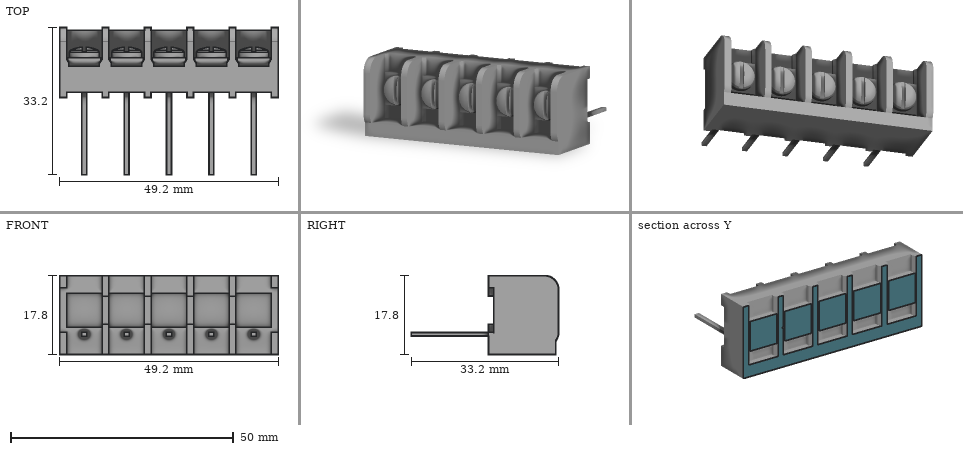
import cadquery as cq
import math


pole_count = 5
pitch = 9.525
body_length = 49.17
divider_width = 1.5
end_wall_width = 1.63

overall_depth = 33.15
body_depth = 15.8
body_height = 17.78
corner_radius = 3.175

ledge_setback = 0.65
ledge_height = 3.1

rib_depth = 1.19
window_depth = 1.05
window_height = 7.62
mid_height = 10.0
divider_notch_height = 6.3
end_notch_height = 9.95

taper_start_depth = 7.15
taper_end_depth = 8.0
compartment_depth = 8.75
compartment_back_width = 6.85

plate_width = 7.45
plate_thickness = 1.95

head_diameter = 6.76
head_rim_height = 1.15
head_edge_height = 0.5
head_edge_inset = 0.3
head_dome_rise = 0.7
screw_slot_width = 0.95
screw_slot_depth = 1.02

pin_width = 1.17
pin_height = 0.82
pin_center_height = 4.58

compartment_width = pitch - divider_width
end_x = body_length / 2
wall_x = end_x - end_wall_width
pole_span = pole_count - 1
pole_centers = [(i - pole_span / 2) * pitch for i in range(pole_count)]
compartment_back_y = body_depth - compartment_depth
plate_front_y = compartment_back_y + plate_thickness


def box(x_range, y_range, z_range):
    """Axis-aligned box from its (low, high) limits on each axis."""
    lows, highs = zip(x_range, y_range, z_range)
    sizes = [high - low for low, high in zip(lows, highs)]
    return cq.Workplane("XY").box(*sizes, centered=False).translate(lows)


def centered_range(center, size):
    return (center - size / 2, center + size / 2)


def bay_range(center):
    """X limits of the clear space of one pole, trimmed by the thicker end walls."""
    low, high = centered_range(center, compartment_width)
    return (max(low, -wall_x), min(high, wall_x))


def body_blank():
    """Side profile, the same as that of a divider, extruded over the full length."""
    ledge_y = body_depth - ledge_setback
    arc_center_y = body_depth - corner_radius
    lower_arc_rise = math.sqrt(corner_radius**2 - (corner_radius - ledge_setback) ** 2)
    lower_arc_z = ledge_height + lower_arc_rise
    half_angle = math.asin(lower_arc_rise / corner_radius) / 2
    lower_arc_middle = (
        arc_center_y + corner_radius * math.cos(half_angle),
        lower_arc_z - corner_radius * math.sin(half_angle),
    )
    diagonal = corner_radius * math.sqrt(0.5)
    upper_arc_middle = (arc_center_y + diagonal, body_height - corner_radius + diagonal)
    return (
        cq.Workplane("YZ")
        .moveTo(0, 0)
        .lineTo(ledge_y, 0)
        .lineTo(ledge_y, ledge_height)
        .threePointArc(lower_arc_middle, (body_depth, lower_arc_z))
        .lineTo(body_depth, body_height - corner_radius)
        .threePointArc(upper_arc_middle, (arc_center_y, body_height))
        .lineTo(0, body_height)
        .close()
        .extrude(end_x, both=True)
    )


def compartment(center):
    """Screw compartment, open at the top and towards +Y, standing on the ledge."""
    low, high = bay_range(center)
    back_low, back_high = centered_range(center, compartment_back_width)
    taper_start_y = body_depth - taper_start_depth
    taper_end_y = body_depth - taper_end_depth
    outline = [
        (low, body_depth),
        (low, taper_start_y),
        (back_low, taper_end_y),
        (back_low, compartment_back_y),
        (back_high, compartment_back_y),
        (back_high, taper_end_y),
        (high, taper_start_y),
        (high, body_depth),
    ]
    height = body_height - ledge_height
    floor = cq.Workplane("XY").workplane(offset=ledge_height)
    return floor.polyline(outline).close().extrude(height)


def rear_recess(center):
    """Clear space between the ribs of one pole plus the window sunk behind it."""
    recess = box(bay_range(center), (0, rib_depth), (0, body_height))
    window = box(
        bay_range(center),
        (0, rib_depth + window_depth),
        centered_range(mid_height, window_height),
    )
    return recess.union(window)


def rib_notches():
    """Gaps that split every rib into an upper and a lower length."""
    dividers = box((-wall_x, wall_x), (0, rib_depth), centered_range(mid_height, divider_notch_height))
    ends = box((-end_x, end_x), (0, rib_depth), centered_range(mid_height, end_notch_height))
    ends = ends.cut(box((-wall_x, wall_x), (0, rib_depth), (0, body_height)))
    return dividers.union(ends)


def terminal_plate(center):
    return box(
        centered_range(center, plate_width),
        (compartment_back_y, plate_front_y),
        centered_range(mid_height, plate_width),
    )


def screw_head(center):
    """Domed, slotted head turned about the Y direction; the slot runs along Z."""
    radius = head_diameter / 2
    dome_radius = radius - head_edge_inset
    dome_base = head_rim_height + head_edge_height
    top = dome_base + head_dome_rise
    sphere_radius = (dome_radius**2 + head_dome_rise**2) / (2 * head_dome_rise)
    half_angle = math.asin(dome_radius / sphere_radius) / 2
    dome_middle = (
        sphere_radius * math.sin(half_angle),
        top - sphere_radius * (1 - math.cos(half_angle)),
    )
    head = (
        cq.Workplane("XY")
        .moveTo(0, 0)
        .lineTo(radius, 0)
        .lineTo(radius, head_rim_height)
        .lineTo(dome_radius, dome_base)
        .threePointArc(dome_middle, (0, top))
        .close()
        .revolve(360, (0, 0, 0), (0, 1, 0))
    )
    slot = box(
        centered_range(0, screw_slot_width),
        (top - screw_slot_depth, top),
        (-radius, radius),
    )
    return head.cut(slot).translate((center, plate_front_y, mid_height))


def pin(center):
    """Straight pin, rooted in the rear face of the body."""
    return box(
        centered_range(center, pin_width),
        (body_depth - overall_depth, rib_depth),
        centered_range(pin_center_height, pin_height),
    )


body = body_blank().cut(rib_notches())
for pole_x in pole_centers:
    body = body.cut(compartment(pole_x))
    body = body.cut(rear_recess(pole_x))
for pole_x in pole_centers:
    body = body.union(terminal_plate(pole_x))
    body = body.union(screw_head(pole_x))
    body = body.union(pin(pole_x))

result = body